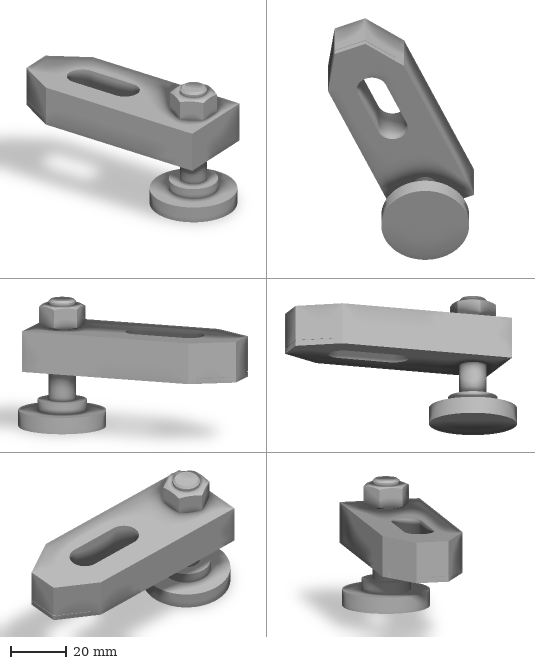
import cadquery as cq
import math

total_length = 86.0
foot_diameter = 32.0
screw_x = total_length - foot_diameter / 2

arm_length = 80.0
arm_width = 30.0
arm_height = 15.05
arm_bottom = 22.0
arm_top = arm_bottom + arm_height
nose_width = 12.0
nose_length = 15.0
slot_start = nose_length
slot_length = 30.0
slot_width = 11.0

groove_length = 12.1
groove_height = 2.15
groove_width = 0.215
groove_depth = 0.2

foot_height = 6.0
collar_diameter = 18.0
collar_height = 3.95
shank_diameter = 10.0
screw_height = 47.0
tip_chamfer = 0.8

nut_sides = 6
nut_across_flats = 14.8
nut_height = 8.1
nut_top_face_diameter = 13.7
nut_bottom_face_diameter = 14.5
nut_chamfer_angle = 25.0


def make_arm_blank():
    """Block with a tapered nose, before any cuts."""
    half_width = arm_width / 2
    half_nose = nose_width / 2
    return (
        cq.Workplane("XY", origin=(0, 0, arm_bottom))
        .polyline([
            (0, -half_nose),
            (nose_length, -half_width),
            (arm_length, -half_width),
            (arm_length, half_width),
            (nose_length, half_width),
            (0, half_nose),
        ])
        .close()
        .extrude(arm_height)
    )


def make_nose_block(length, height):
    """Block across the full arm width at the lower front end of the arm."""
    return (
        cq.Workplane("XY", origin=(0, 0, arm_bottom))
        .box(length, arm_width, height, centered=(False, True, False))
    )


def make_nose_groove():
    """L-shaped band along the pressure face, cut only skin-deep into the nose sides."""
    band = make_nose_block(groove_length, groove_height).cut(
        make_nose_block(groove_length - groove_width, groove_height - groove_width)
    )
    core = (
        make_arm_blank()
        .faces("<Z")
        .wires()
        .toPending()
        .workplane()
        .offset2D(-groove_depth)
        .extrude(-arm_height, combine=False)
    )
    return band.cut(core)


def make_screw_bore(bottom, height):
    return (
        cq.Workplane("XY", origin=(screw_x, 0, bottom))
        .circle(shank_diameter / 2)
        .extrude(height)
    )


def make_arm():
    slot = (
        cq.Workplane("XY", origin=(slot_start + slot_length / 2, 0, arm_bottom))
        .slot2D(slot_length, slot_width)
        .extrude(arm_height)
    )
    return (
        make_arm_blank()
        .cut(make_nose_groove())
        .cut(slot)
        .cut(make_screw_bore(arm_bottom, arm_height))
    )


def make_nut():
    """Hexagon nut with flats facing along X and conical chamfers on both ends."""
    half_sector = 180 / nut_sides
    corner_radius = nut_across_flats / math.sqrt(3)
    slope = math.tan(math.radians(nut_chamfer_angle))
    top_radius = nut_top_face_diameter / 2
    bottom_radius = nut_bottom_face_diameter / 2
    top_drop = (corner_radius - top_radius) * slope
    bottom_rise = (corner_radius - bottom_radius) * slope
    prism = (
        cq.Workplane("XY")
        .polygon(nut_sides, 2 * corner_radius)
        .extrude(nut_height)
        .rotate((0, 0, 0), (0, 0, 1), half_sector)
    )
    chamfer_envelope = (
        cq.Workplane("XZ")
        .polyline([
            (0, 0),
            (bottom_radius, 0),
            (corner_radius, bottom_rise),
            (corner_radius, nut_height - top_drop),
            (top_radius, nut_height),
            (0, nut_height),
        ])
        .close()
        .revolve(360, (0, 0), (0, 1))
    )
    nut_body = prism.intersect(chamfer_envelope).translate((screw_x, 0, arm_top))
    return nut_body.cut(make_screw_bore(arm_top, nut_height))


def make_support_screw():
    foot = (
        cq.Workplane("XY", origin=(screw_x, 0, 0))
        .circle(foot_diameter / 2)
        .extrude(foot_height)
    )
    collar = (
        cq.Workplane("XY", origin=(screw_x, 0, foot_height))
        .circle(collar_diameter / 2)
        .extrude(collar_height)
    )
    shank_bottom = foot_height + collar_height
    shank = (
        cq.Workplane("XY", origin=(screw_x, 0, shank_bottom))
        .circle(shank_diameter / 2)
        .extrude(screw_height - shank_bottom)
        .faces(">Z")
        .chamfer(tip_chamfer)
    )
    return foot.union(collar).union(shank)


arm = make_arm()
nut = make_nut()
support_screw = make_support_screw()

result = cq.Compound.makeCompound([arm.solids().val(), nut.solids().val(), support_screw.solids().val()])